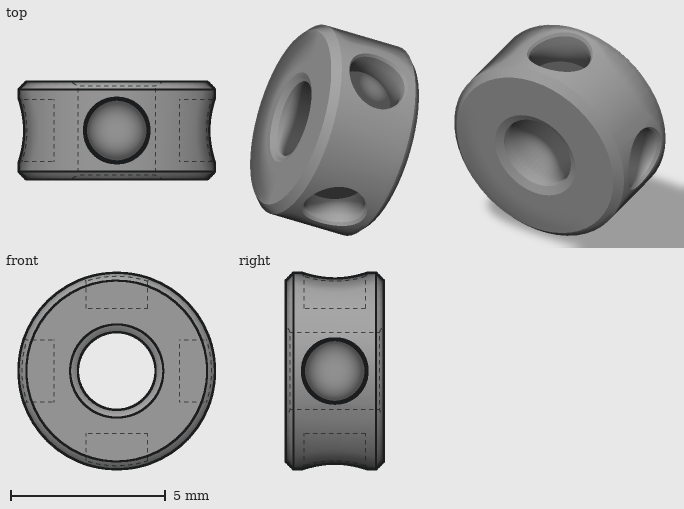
import cadquery as cq

outer_diameter = 6.35
width = 3.17
bore_diameter = 2.5
rim_chamfer = 0.255
bore_chamfer_radial = 0.255
bore_chamfer_depth = 0.145

hole_diameter = 1.995
hole_floor_radius = 2.02
hole_chamfer_width = 0.065
hole_chamfer_depth = 0.115
hole_count = 4


def make_ring():
    """Disc centred on the origin with a chamfered rim and a bore countersunk at both ends."""
    disc = cq.Workplane("XZ").circle(outer_diameter / 2).extrude(width / 2, both=True)
    disc = disc.edges("%CIRCLE").chamfer(rim_chamfer)

    bore_radius = bore_diameter / 2
    mouth_radius = bore_radius + bore_chamfer_radial
    end_y = width / 2
    neck_y = end_y - bore_chamfer_depth
    bore_profile = [
        (0, -end_y),
        (mouth_radius, -end_y),
        (bore_radius, -neck_y),
        (bore_radius, neck_y),
        (mouth_radius, end_y),
        (0, end_y),
    ]
    bore = cq.Workplane("XY").polyline(bore_profile).close().revolve(360, (0, 0, 0), (0, 1, 0))
    return disc.cut(bore)


def make_hole_cutter():
    """Cylinder reaching up along Z from the hole floor to beyond the rim."""
    return (
        cq.Workplane("XY", origin=(0, 0, hole_floor_radius))
        .circle(hole_diameter / 2)
        .extrude(outer_diameter / 2)
    )


def is_hole_mouth(edge):
    """True for the curved edge where a radial hole breaks through the rim."""
    return edge.geomType() not in ("LINE", "CIRCLE")


collar = make_ring()
for index in range(hole_count):
    angle = index * 360 / hole_count
    collar = collar.cut(make_hole_cutter().rotate((0, 0, 0), (0, 1, 0), angle))

mouth_edges = [edge for edge in collar.edges().vals() if is_hole_mouth(edge)]
result = collar.newObject(mouth_edges).chamfer(hole_chamfer_width, hole_chamfer_depth)